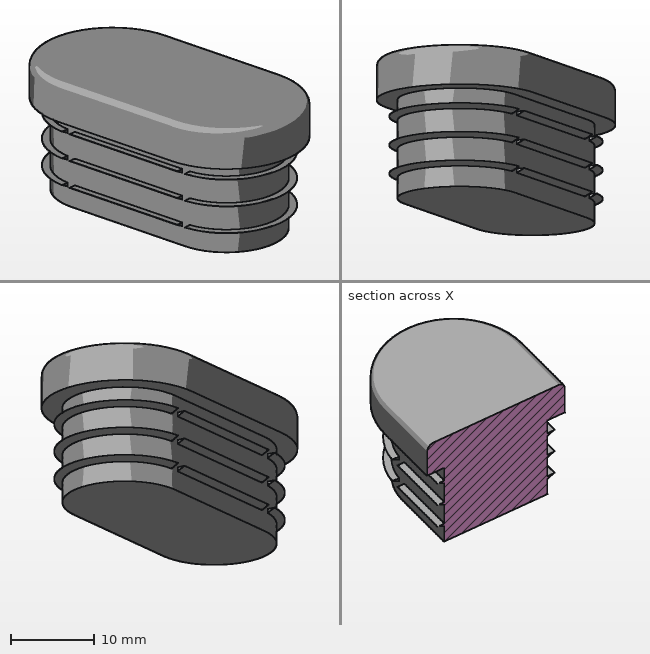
import cadquery as cq

center_distance = 18.0
cap_width = 20.0
cap_height = 5.0
cap_edge_radius = 1.0
plug_width = 15.0
plug_height = 12.0
fin_reach = 1.0
fin_thickness = 0.5
fin_top_heights = (3.0, 6.5, 10.0)
straight_fin_length = 17.0
end_fin_sweep = 170.0
root_overlap = 0.5

plug_radius = plug_width / 2
end_axis_x = center_distance / 2


def oblong(width, height, bottom_z):
    """Solid with straight sides and full-round ends along X."""
    return (
        cq.Workplane("XY")
        .workplane(offset=bottom_z)
        .slot2D(center_distance + width, width)
        .extrude(height)
    )


def fin_profile(plane, top_z):
    """Fin section: flat top, underside rising from the root to a sharp tip."""
    root = plug_radius
    inside = plug_radius - root_overlap
    bottom_z = top_z - fin_thickness
    return (
        cq.Workplane(plane)
        .moveTo(inside, top_z)
        .lineTo(root + fin_reach, top_z)
        .lineTo(root, bottom_z)
        .lineTo(inside, bottom_z)
        .close()
    )


def straight_fin(top_z):
    """Fin along the flat +Y side, centered on X = 0."""
    return fin_profile("YZ", top_z).extrude(straight_fin_length / 2, both=True)


def end_fin(top_z):
    """Curved fin around the round +X end."""
    return (
        fin_profile("XZ", top_z)
        .revolve(end_fin_sweep, (0, 0), (0, 1))
        .rotate((0, 0, 0), (0, 0, 1), -end_fin_sweep / 2)
        .translate((end_axis_x, 0, 0))
    )


plug = oblong(plug_width, plug_height, 0)
cap = oblong(cap_width, cap_height, plug_height).faces(">Z").edges().fillet(cap_edge_radius)
result = plug.union(cap)

for fin_top in fin_top_heights:
    for fin in (straight_fin(fin_top), end_fin(fin_top)):
        opposite_fin = fin.rotate((0, 0, 0), (0, 0, 1), 180)
        result = result.union(fin).union(opposite_fin)